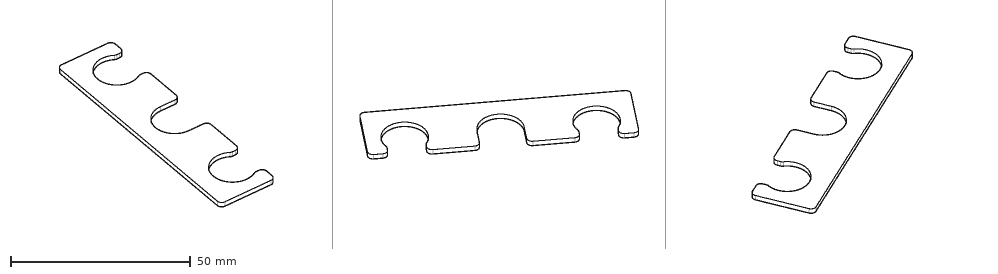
import cadquery as cq
import math

length = 76.2
width = 19.05
thickness = 1.6
corner_radius = 1.5

seat_radius = 6.6
seat_pitch = 27.0
seat_center_y = 12.4

narrow_mouth_width = 11.0
full_mouth_width = 2 * seat_radius


def open_seat(x, mouth_width):
    """Round hole with a parallel-sided mouth running to the back edge."""
    hole = (
        cq.Workplane("XY")
        .center(x, seat_center_y)
        .circle(seat_radius)
        .extrude(thickness)
    )
    mouth_depth = width - seat_center_y
    mouth = (
        cq.Workplane("XY")
        .center(x, seat_center_y + mouth_depth / 2)
        .rect(mouth_width, mouth_depth)
        .extrude(thickness)
    )
    return hole.union(mouth)


plate = cq.Workplane("XY").box(length, width, thickness, centered=(True, False, False))
for x in (-seat_pitch, seat_pitch):
    plate = plate.cut(open_seat(x, narrow_mouth_width))
plate = plate.cut(open_seat(0, full_mouth_width))

front_and_back_corners = plate.edges("|Z").edges("<Y or >Y").vals()
half_mouth = narrow_mouth_width / 2
neck_y = seat_center_y + math.sqrt(seat_radius**2 - half_mouth**2)
neck_edges = []
for x in (-seat_pitch, seat_pitch):
    for side in (-1, 1):
        neck_point = (x + side * half_mouth, neck_y, thickness / 2)
        neck_edges += plate.edges("|Z").edges(cq.NearestToPointSelector(neck_point)).vals()

result = plate.newObject(front_and_back_corners + neck_edges).fillet(corner_radius)